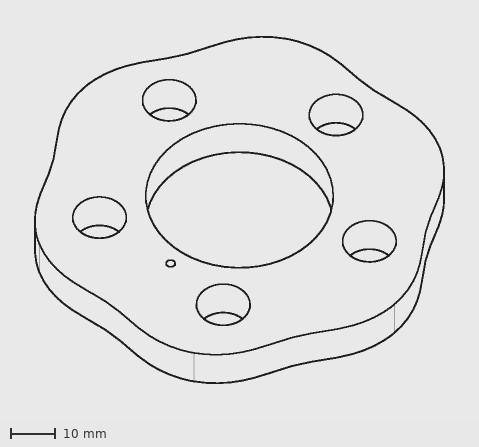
import cadquery as cq
import math

thickness = 10.0
lobe_count = 6
ring_pin_count = lobe_count + 1
ring_pin_radius = 6.0
ring_radius = 51.0
eccentricity = 2.0

bore_diameter = 42.0

output_hole_count = 5
output_hole_diameter = 12.0
output_hole_circle_radius = 32.0
first_output_hole_angle = 90.0

marker_hole_diameter = 2.0
marker_hole_x = 2.0
marker_hole_y = -25.0

points_per_lobe = 40
lobe_angle = 2 * math.pi / lobe_count
first_valley_angle = math.pi / 2


def cycloid_point(angle):
    """Point of the disc outline; the valleys lie at whole multiples of the lobe angle."""
    lobe_phase = lobe_count * angle
    contact_angle = math.atan2(
        -math.sin(lobe_phase),
        ring_radius / (eccentricity * ring_pin_count) - math.cos(lobe_phase),
    )
    x = (
        ring_radius * math.cos(angle)
        - ring_pin_radius * math.cos(angle + contact_angle)
        - eccentricity * math.cos(ring_pin_count * angle)
    )
    y = (
        ring_radius * math.sin(angle)
        - ring_pin_radius * math.sin(angle + contact_angle)
        - eccentricity * math.sin(ring_pin_count * angle)
    )
    turned_x = x * math.cos(first_valley_angle) - y * math.sin(first_valley_angle)
    turned_y = x * math.sin(first_valley_angle) + y * math.cos(first_valley_angle)
    return cq.Vector(turned_x, turned_y, 0)


def tip_tangent(angle):
    """Direction of the outline at a lobe tip, square to the radius."""
    direction = angle + first_valley_angle + math.pi / 2
    return cq.Vector(math.cos(direction), math.sin(direction), 0)


def outline_edge(valley_index):
    """Smooth curve from one lobe tip, through a valley, to the next tip."""
    start = (valley_index - 0.5) * lobe_angle
    points = [
        cycloid_point(start + lobe_angle * step / points_per_lobe)
        for step in range(points_per_lobe + 1)
    ]
    end_tangents = [tip_tangent(start), tip_tangent(start + lobe_angle)]
    return cq.Edge.makeSpline(points, tangents=end_tangents)


def make_disc():
    outline = cq.Wire.assembleEdges([outline_edge(index) for index in range(lobe_count)])
    return cq.Workplane("XY").add(outline).toPending().extrude(thickness)


def cut_bore(body):
    return body.cut(cq.Workplane("XY").circle(bore_diameter / 2).extrude(thickness))


def cut_output_holes(body):
    holes = (
        cq.Workplane("XY")
        .polarArray(output_hole_circle_radius, first_output_hole_angle, 360, output_hole_count)
        .circle(output_hole_diameter / 2)
        .extrude(thickness)
    )
    return body.cut(holes)


def cut_marker_hole(body):
    hole = (
        cq.Workplane("XY")
        .center(marker_hole_x, marker_hole_y)
        .circle(marker_hole_diameter / 2)
        .extrude(thickness)
    )
    return body.cut(hole)


disc = make_disc()
disc = cut_bore(disc)
disc = cut_output_holes(disc)
result = cut_marker_hole(disc)